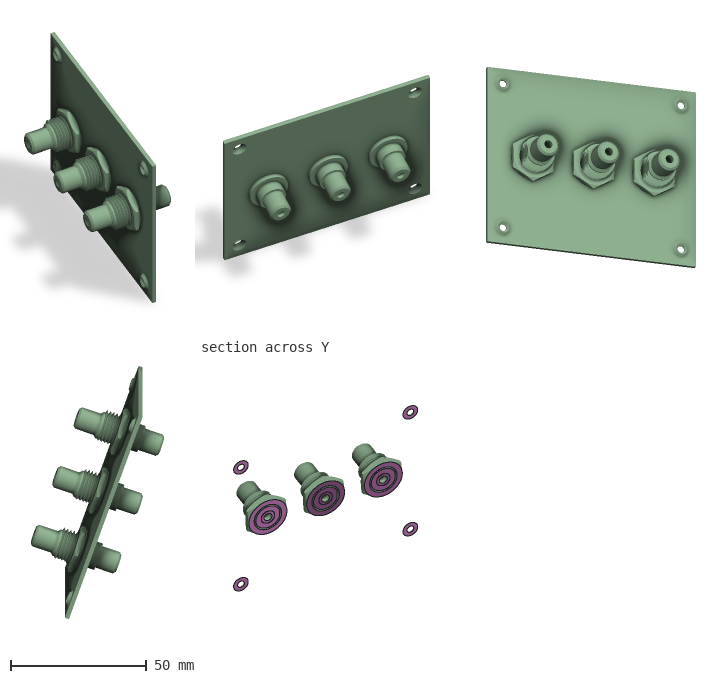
import cadquery as cq
import math


panel_width = 82.04
panel_height = 68.07
panel_thickness = 1.6

seat_inset = 6.0
seat_height = 1.06
seat_rim_radius = 2.1
seat_waist_radius = 1.32
seat_waist_length = 0.4
seat_base_fillet = 0.88
seat_slope = math.radians(45)

jack_count = 3
jack_pitch = 23.85
jack_length = 33.02
barrel_radius = 4.16
barrel_chamfer = 0.8
boss_radius = 5.12
boss_length = 3.8
flange_radius = 7.55
flange_thickness = 1.6
rear_barrel_length = 7.85
shank_radius = boss_radius
shank_length = 10.0
shank_chamfer = 0.8
shank_flat_offset = 4.85
insulator_radius = 2.65
bore_radius = 1.55

thread_pitch = 1.27
thread_depth = 1.1
thread_ring_width = 1.0
thread_radius = shank_radius + thread_depth
thread_ring_count = 6
last_ring_position = 8.12

nut_across_flats = 15.875
nut_bore_radius = 5.6
nut_thickness = 2.7
nut_washer_face = 0.3
nut_corner_angle = math.radians(30)
hex_half_angle = 30

jack_rear_y = panel_thickness + flange_thickness + boss_length + rear_barrel_length
jack_front_y = jack_rear_y - jack_length

jack_positions = [(i - (jack_count - 1) / 2) * jack_pitch for i in range(jack_count)]

seat_x = panel_width / 2 - seat_inset
seat_z = panel_height / 2 - seat_inset
seat_positions = [(sx * seat_x, sz * seat_z) for sx in (-1, 1) for sz in (-1, 1)]


def revolve_about_y(profile):
    """Turn a closed (radius, y) profile a full turn about the Y axis."""
    return profile.close().revolve(360, (0, 0, 0), (0, 1, 0))


def cylinder_along_y(radius, y_start, y_end):
    """Round bar on the Y axis between two y positions."""
    return cq.Workplane("XZ", origin=(0, y_start, 0)).circle(radius).extrude(y_start - y_end)


def thread_rings():
    """Shank core with the thread rings, all fully round."""
    half_width = thread_ring_width / 2
    first_ring_position = last_ring_position - (thread_ring_count - 1) * thread_pitch
    profile = cq.Workplane("XY").moveTo(0, 0).lineTo(shank_radius, 0)
    for i in range(thread_ring_count):
        crest_y = -(first_ring_position + i * thread_pitch)
        profile = profile.lineTo(shank_radius, crest_y + half_width)
        profile = profile.lineTo(thread_radius, crest_y)
        profile = profile.lineTo(shank_radius, crest_y - half_width)
    profile = (
        profile.lineTo(shank_radius, -(shank_length - shank_chamfer))
        .lineTo(shank_radius - shank_chamfer, -shank_length)
        .lineTo(0, -shank_length)
    )
    return revolve_about_y(profile)


def flatted_side(solid):
    """Cut the lengthwise flat on the -X side."""
    reach = 2 * thread_radius
    cutter = cq.Workplane("XY").box(reach, 4 * shank_length, reach)
    return solid.cut(cutter.translate((-shank_flat_offset - reach / 2, 0, 0)))


def plain_shank():
    """Flatted part of the shank that passes through the panel."""
    return flatted_side(cylinder_along_y(shank_radius, 0, panel_thickness))


def make_panel():
    panel = cq.Workplane("XY").box(panel_width, panel_thickness, panel_height)
    panel = panel.translate((0, panel_thickness / 2, 0))
    for x, z in seat_positions:
        panel = panel.union(seat_cone().translate((x, 0, z)))
    for x, z in seat_positions:
        panel = panel.cut(seat_opening().translate((x, 0, z)))
    for x in jack_positions:
        panel = panel.cut(plain_shank().translate((x, 0, 0)))
    return panel


def seat_cone():
    """Cone that flares into the panel through a concave fillet."""
    foot_radius = seat_rim_radius + seat_height / math.tan(seat_slope)
    tangent_length = seat_base_fillet * math.tan(seat_slope / 2)
    outer_radius = foot_radius + tangent_length
    arc_top = (
        outer_radius - seat_base_fillet * math.sin(seat_slope),
        -seat_base_fillet * (1 - math.cos(seat_slope)),
    )
    arc_middle = (
        outer_radius - seat_base_fillet * math.sin(seat_slope / 2),
        -seat_base_fillet * (1 - math.cos(seat_slope / 2)),
    )
    profile = (
        cq.Workplane("XY")
        .moveTo(0, -seat_height)
        .lineTo(seat_rim_radius, -seat_height)
        .lineTo(*arc_top)
        .threePointArc(arc_middle, (outer_radius, 0))
        .lineTo(outer_radius, panel_thickness / 2)
        .lineTo(0, panel_thickness / 2)
    )
    return revolve_about_y(profile)


def seat_opening():
    """Opening that narrows from the rim to a short waist and flares again to the rear face."""
    waist_y = (seat_rim_radius - seat_waist_radius) * math.tan(seat_slope) - seat_height
    flare_y = waist_y + seat_waist_length
    rear_radius = seat_waist_radius + (panel_thickness - flare_y) / math.tan(seat_slope)
    profile = (
        cq.Workplane("XY")
        .moveTo(0, -seat_height)
        .lineTo(seat_rim_radius, -seat_height)
        .lineTo(seat_waist_radius, waist_y)
        .lineTo(seat_waist_radius, flare_y)
        .lineTo(rear_radius, panel_thickness)
        .lineTo(0, panel_thickness)
    )
    return revolve_about_y(profile)


def make_jack():
    barrel = cylinder_along_y(barrel_radius, jack_front_y, jack_rear_y)
    barrel = barrel.faces("<Y or >Y").chamfer(barrel_chamfer)
    flange_rear_y = panel_thickness + flange_thickness
    flange = cylinder_along_y(flange_radius, panel_thickness, flange_rear_y)
    boss = cylinder_along_y(boss_radius, flange_rear_y, flange_rear_y + boss_length)
    shank = flatted_side(thread_rings())
    jack = barrel.union(shank).union(plain_shank()).union(flange).union(boss)
    return jack.cut(cylinder_along_y(insulator_radius, jack_front_y, jack_rear_y))


def make_insulator():
    """Sleeve that lines the jack from end to end."""
    sleeve = cylinder_along_y(insulator_radius, jack_front_y, jack_rear_y)
    return sleeve.cut(cylinder_along_y(bore_radius, jack_front_y, jack_rear_y))


def make_nut():
    """Hex nut with a washer face on the panel, both ends turned to the flats."""
    inscribed_radius = nut_across_flats / 2
    corner_radius = inscribed_radius / math.cos(math.radians(hex_half_angle))
    corner_drop = (corner_radius - inscribed_radius) * math.tan(nut_corner_angle)
    hexagon = (
        cq.Workplane("XZ")
        .polygon(6, 2 * corner_radius)
        .extrude(nut_thickness)
        .rotate((0, 0, 0), (0, 1, 0), hex_half_angle)
    )
    turned_profile = (
        cq.Workplane("XY")
        .moveTo(0, 0)
        .lineTo(inscribed_radius, 0)
        .lineTo(inscribed_radius, -nut_washer_face)
        .lineTo(corner_radius, -nut_washer_face - corner_drop)
        .lineTo(corner_radius, -nut_thickness + corner_drop)
        .lineTo(inscribed_radius, -nut_thickness)
        .lineTo(0, -nut_thickness)
    )
    nut = hexagon.intersect(revolve_about_y(turned_profile))
    return nut.cut(cylinder_along_y(nut_bore_radius, -nut_thickness, 0)).cut(thread_rings())


panel = make_panel()
jacks = [make_jack().translate((x, 0, 0)) for x in jack_positions]
insulators = [make_insulator().translate((x, 0, 0)) for x in jack_positions]
nuts = [make_nut().translate((x, 0, 0)) for x in jack_positions]

result = cq.Compound.makeCompound(
    [panel.val(), *[body.val() for body in jacks + insulators + nuts]]
)